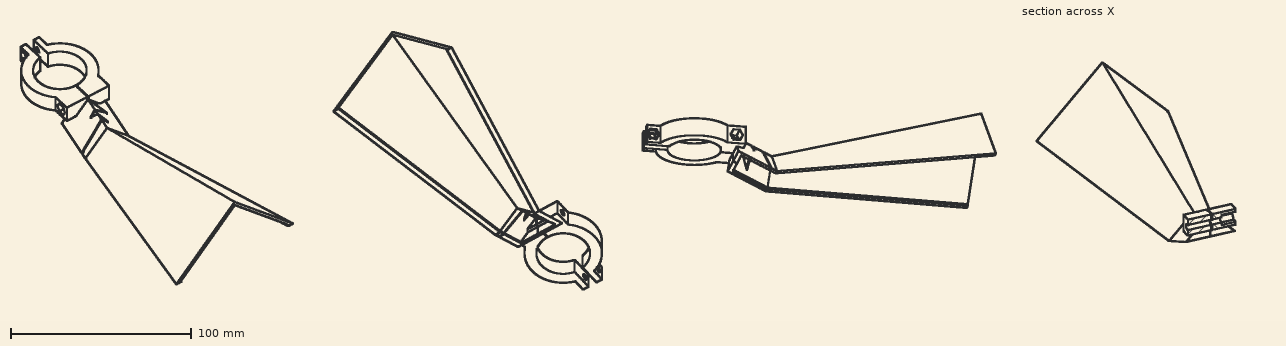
import cadquery as cq
import math

CLAMP_HEIGHT = 10.3
RING_CENTER_X = 28.0
RING_OUTER_RADIUS = 21.5
RING_BORE_RADIUS = 14.8
EAR_OUTER_Y = 6.5
EAR_SLOT_HALF_WIDTH = 2.7
BLOCK_END_X = 54.0
BLOCK_HALF_WIDTH = 14.7

SCREW_DIAMETER = 3.2
EAR_SCREW_X = 3.5
BLOCK_SCREW_X = 49.0
EAR_NUT_FLATS = 5.9
EAR_NUT_DEPTH = 2.5
BLOCK_NUT_FLATS = 6.0
BLOCK_NUT_DEPTH = 8.5

NECK_START_X = 49.9
BEND_X = 71.8
BLADE_END_X = 190.3
NECK_HALF_WIDTH = 15.0
BLADE_HALF_WIDTH = 40.3
NECK_END_RIDGE_Z = 0.0
BLADE_END_RIDGE_Z = 35.5
NECK_SLOPE = math.radians(25)
NECK_END_WALL = 2.3
ROOF_THICKNESS = 2.5
EAVE_WIDTH = 3.5

JOINT_GAP = 0.4
ZIGZAG_POINTS = [(53.7, 0.0), (59.4, 8.8), (61.1, -3.0), (66.2, 4.4)]
ZIGZAG_END_X = 68.5
MARGIN = 9.5


def neck_ridge_z(x):
    """Ridge height of the neck, which falls toward the bend."""
    return NECK_END_RIDGE_Z + (BEND_X - x) * math.tan(NECK_SLOPE)


def roof_section(x, half_width, ridge_z):
    """Outer triangle; the flanks drop as far as they spread."""
    base_z = ridge_z - half_width
    points = [(0, ridge_z), (half_width, base_z), (-half_width, base_z)]
    return cq.Wire.makePolygon([cq.Vector(x, y, z) for y, z in points], close=True)


def cavity_section(x, half_width, ridge_z):
    """Inner roof with short upright sides beside the eave strips."""
    inner_half = half_width - EAVE_WIDTH
    apex_z = ridge_z - ROOF_THICKNESS
    eave_z = apex_z - inner_half
    base_z = ridge_z - half_width
    points = [
        (0, apex_z),
        (inner_half, eave_z),
        (inner_half, base_z),
        (-inner_half, base_z),
        (-inner_half, eave_z),
    ]
    return cq.Wire.makePolygon([cq.Vector(x, y, z) for y, z in points], close=True)


def ruled_solid(sections):
    return cq.Workplane(obj=cq.Solid.makeLoft(sections, True))


def make_neck():
    cavity_x = NECK_START_X + NECK_END_WALL
    outer = ruled_solid([
        roof_section(NECK_START_X, NECK_HALF_WIDTH, neck_ridge_z(NECK_START_X)),
        roof_section(BEND_X, NECK_HALF_WIDTH, NECK_END_RIDGE_Z),
    ])
    cavity = ruled_solid([
        cavity_section(cavity_x, NECK_HALF_WIDTH, neck_ridge_z(cavity_x)),
        cavity_section(BEND_X, NECK_HALF_WIDTH, NECK_END_RIDGE_Z),
    ])
    return outer.cut(cavity)


def make_blade():
    ends = [
        (BEND_X, NECK_HALF_WIDTH, NECK_END_RIDGE_Z),
        (BLADE_END_X, BLADE_HALF_WIDTH, BLADE_END_RIDGE_Z),
    ]
    outer = ruled_solid([roof_section(*end) for end in ends])
    cavity = ruled_solid([cavity_section(*end) for end in ends])
    return outer.cut(cavity)


def clamp_box(x_start, x_end, half_width):
    return cq.Workplane("XY").box(
        x_end - x_start, 2 * half_width, CLAMP_HEIGHT, centered=(False, True, False)
    ).translate((x_start, 0, 0))


def make_clamp():
    ring = cq.Workplane("XY").center(RING_CENTER_X, 0).circle(RING_OUTER_RADIUS).extrude(CLAMP_HEIGHT)
    ears = clamp_box(0, RING_CENTER_X, EAR_OUTER_Y)
    block = clamp_box(RING_CENTER_X, BLOCK_END_X, BLOCK_HALF_WIDTH)
    slot = clamp_box(0, RING_CENTER_X, EAR_SLOT_HALF_WIDTH)
    return ring.union(ears).union(block).cut(slot)


def make_bore():
    return cq.Workplane("XY").center(RING_CENTER_X, 0).circle(RING_BORE_RADIUS).extrude(CLAMP_HEIGHT)


def make_screw_cuts():
    """Cross holes along Y with hexagonal nut pockets on the -Y faces."""
    screws = [
        (EAR_SCREW_X, -EAR_OUTER_Y, EAR_NUT_FLATS, EAR_NUT_DEPTH),
        (BLOCK_SCREW_X, -BLOCK_HALF_WIDTH, BLOCK_NUT_FLATS, BLOCK_NUT_DEPTH),
    ]
    cuts = cq.Workplane("XZ")
    for x, face_y, nut_flats, nut_depth in screws:
        nut_corner_diameter = nut_flats / math.cos(math.pi / 6)
        axis_plane = cq.Workplane("XZ", origin=(x, 0, CLAMP_HEIGHT / 2))
        hole = axis_plane.circle(SCREW_DIAMETER / 2).extrude(RING_OUTER_RADIUS, both=True)
        pocket = (
            cq.Workplane("XZ", origin=(x, face_y + nut_depth, CLAMP_HEIGHT / 2))
            .polygon(6, nut_corner_diameter)
            .extrude(nut_depth)
        )
        cuts = cuts.add(hole.union(pocket))
    return cuts.combine()


def joint_region(side):
    """Everything on one side of the joint: side = +1 toward +Y, -1 toward -Y."""
    shift = side * JOINT_GAP / 2
    far_y = BLADE_HALF_WIDTH + MARGIN
    exit_y = -NECK_HALF_WIDTH - MARGIN
    last_x, last_y = ZIGZAG_POINTS[-1]
    exit_x = last_x + (ZIGZAG_END_X - last_x) * (last_y - exit_y) / (last_y + NECK_HALF_WIDTH)
    path = [(-MARGIN, 0), *ZIGZAG_POINTS, (exit_x, exit_y)]
    outline = [(x + shift, y + shift) for x, y in path]
    if side > 0:
        outline += [
            (exit_x + shift, -far_y),
            (BLADE_END_X + MARGIN, -far_y),
            (BLADE_END_X + MARGIN, far_y),
            (-MARGIN + shift, far_y),
        ]
    else:
        outline.append((-MARGIN + shift, exit_y + shift))
    height = BLADE_END_RIDGE_Z + MARGIN
    return cq.Workplane("XY").polyline(outline).close().extrude(height, both=True)


holder = make_clamp().union(make_neck()).union(make_blade()).cut(make_bore()).cut(make_screw_cuts())

blade_half = holder.intersect(joint_region(1))

clamp_half = holder.intersect(joint_region(-1))

result = cq.Compound.makeCompound([*blade_half.vals(), *clamp_half.vals()])